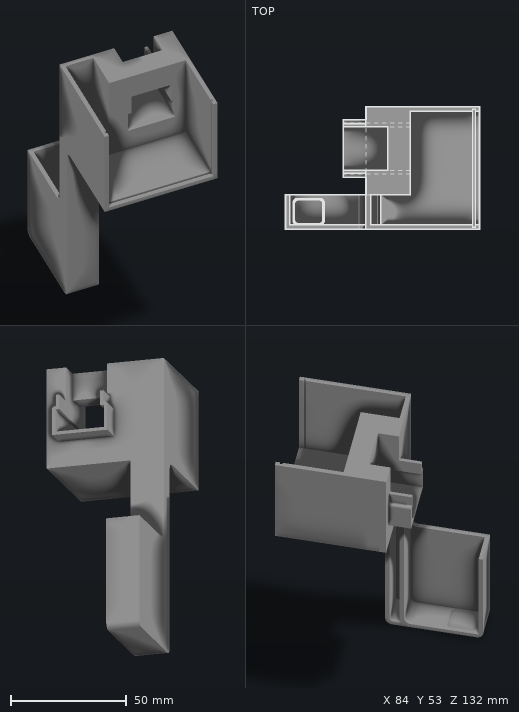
import cadquery as cq
LENGTH = 84.0
DEPTH = 53.0
HEIGHT = 132.0

WALL = 2.0
SLIM_DEPTH = 15.0
CORNER_RADIUS = 3.0
COLUMN_CORNER_RADIUS = 1.5

COLUMN_LEFT = 34.8
COLUMN_RIGHT = 43.2
TRAY_TOP = 50.0
BOX_BOTTOM = 87.0

BLOCK_RIGHT = 54.0

CHANNEL_CENTER = 35.0
CHANNEL_LEFT = 25.0
CHANNEL_WALL = 1.5
CHANNEL_WIDTH = 18.6
CHANNEL_LIP = 1.7
CHANNEL_BOTTOM = 98.6
CHANNEL_LIP_BOTTOM = 110.1
CHANNEL_TOP = 116.7
CHANNEL_SHOULDER_RADIUS = 1.0
WINDOW_TOP = 119.9
SLOT_RIGHT = 44.2

GROOVE_LEFT = 80.9
GROOVE_WIDTH = 1.0
GROOVE_DEPTH = 0.9

RECESS_LEFT = 3.4
RECESS_LENGTH = 13.3
RECESS_WIDTH = 11.4
RECESS_RADIUS = 2.0
RECESS_DEPTH = 0.5


def box(x0, x1, y0, y1, z0, z1):
    """Box between two limits along each axis."""
    return cq.Workplane("XY").box(x1 - x0, y1 - y0, z1 - z0, centered=False).translate((x0, y0, z0))


def slim_body():
    """Z-shaped front body: tray, column and the front strip of the upper box."""
    outline = [
        (0, 0),
        (COLUMN_RIGHT, 0),
        (COLUMN_RIGHT, BOX_BOTTOM),
        (LENGTH, BOX_BOTTOM),
        (LENGTH, HEIGHT),
        (COLUMN_LEFT, HEIGHT),
        (COLUMN_LEFT, TRAY_TOP),
        (0, TRAY_TOP),
    ]
    body = cq.Workplane("XZ").polyline(outline).close().extrude(-SLIM_DEPTH)
    rounded_corners = [
        (0, 0),
        (COLUMN_RIGHT, 0),
        (COLUMN_RIGHT, BOX_BOTTOM),
        (COLUMN_LEFT, TRAY_TOP),
    ]
    for x, z in rounded_corners:
        corner = cq.selectors.NearestToPointSelector((x, SLIM_DEPTH / 2, z))
        body = body.edges("|Y").edges(corner).fillet(CORNER_RADIUS)
    return body


def tray_cavity():
    """Space of the tray, open at the top and rear, rounded into the column wall."""
    cavity = box(WALL, COLUMN_LEFT, WALL, SLIM_DEPTH, WALL, TRAY_TOP + CORNER_RADIUS)
    return cavity.edges("|Y and >X and <Z").fillet(CORNER_RADIUS)


def column_cavity():
    """Space of the column, open at the rear and running up into the upper box."""
    cavity = box(COLUMN_LEFT + WALL, COLUMN_RIGHT - WALL, WALL, SLIM_DEPTH, WALL, HEIGHT)
    return cavity.edges("|Y and >X and <Z").fillet(COLUMN_CORNER_RADIUS)


def box_cavity():
    """Space of the upper box, open at the top and right, with the cover groove."""
    floor = BOX_BOTTOM + WALL
    front_part = box(COLUMN_LEFT + WALL, LENGTH, WALL, SLIM_DEPTH, floor, HEIGHT)
    main_part = box(BLOCK_RIGHT, LENGTH, WALL, DEPTH - WALL, floor, HEIGHT)
    groove = box(
        GROOVE_LEFT, GROOVE_LEFT + GROOVE_WIDTH,
        WALL - GROOVE_DEPTH, DEPTH - WALL + GROOVE_DEPTH,
        floor - GROOVE_DEPTH, HEIGHT,
    )
    return front_part.union(main_part).union(groove)


def channel_profile(clear_width, bottom, step, top, x0, x1):
    """Prism along X: a narrow upper part over a part wider by one lip per side."""
    half = clear_width / 2
    upper = box(x0, x1, CHANNEL_CENTER - half, CHANNEL_CENTER + half, bottom, top)
    wide = half + CHANNEL_LIP
    lower = box(x0, x1, CHANNEL_CENTER - wide, CHANNEL_CENTER + wide, bottom, step)
    return upper.union(lower)


def channel_shell():
    """Outside of the channel, from its free end to the block, with rounded shoulders."""
    shoulder = CHANNEL_LIP_BOTTOM + CHANNEL_WALL
    shell = channel_profile(
        CHANNEL_WIDTH + 2 * CHANNEL_WALL, CHANNEL_BOTTOM, shoulder, CHANNEL_TOP, CHANNEL_LEFT, COLUMN_LEFT
    )
    half = CHANNEL_WIDTH / 2 + CHANNEL_WALL + CHANNEL_LIP
    middle = (CHANNEL_LEFT + COLUMN_LEFT) / 2
    for y in (CHANNEL_CENTER - half, CHANNEL_CENTER + half):
        corner = cq.selectors.NearestToPointSelector((middle, y, shoulder))
        shell = shell.edges("|X").edges(corner).fillet(CHANNEL_SHOULDER_RADIUS)
    return shell


def channel_opening():
    """Inside of the channel through the block, with the slot above it."""
    window = channel_profile(
        CHANNEL_WIDTH, CHANNEL_BOTTOM + CHANNEL_WALL, CHANNEL_LIP_BOTTOM,
        WINDOW_TOP, CHANNEL_LEFT, BLOCK_RIGHT,
    )
    half = CHANNEL_WIDTH / 2
    slot = box(
        COLUMN_LEFT, SLOT_RIGHT, CHANNEL_CENTER - half, CHANNEL_CENTER + half, CHANNEL_TOP, HEIGHT
    )
    return window.union(slot)


def tray_recess():
    """Rounded rectangular recess whose sides slope inwards at 45 degrees."""
    recess = box(
        RECESS_LEFT, RECESS_LEFT + RECESS_LENGTH, WALL, WALL + RECESS_WIDTH, WALL - RECESS_DEPTH, WALL
    )
    return recess.edges("|Z").fillet(RECESS_RADIUS).faces("<Z").chamfer(0.99 * RECESS_DEPTH)


rear_body = box(COLUMN_LEFT, LENGTH, SLIM_DEPTH, DEPTH, BOX_BOTTOM, HEIGHT)

result = (
    slim_body()
    .union(rear_body)
    .cut(tray_cavity())
    .cut(column_cavity())
    .cut(box_cavity())
    .union(channel_shell())
    .cut(channel_opening())
    .cut(tray_recess())
)